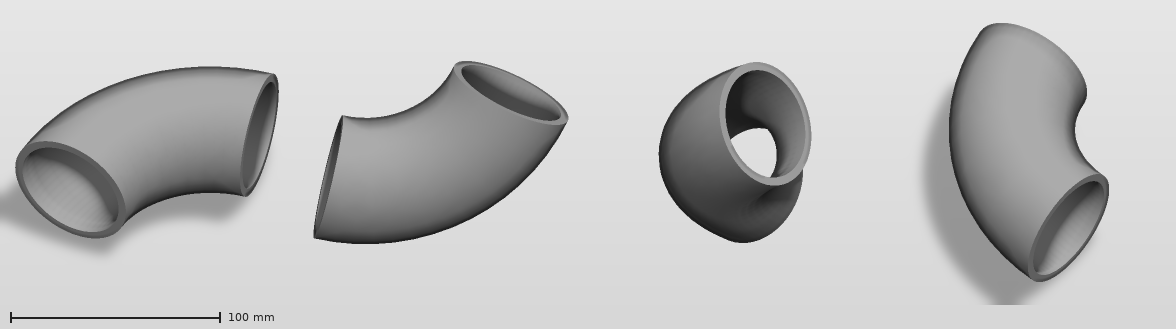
import cadquery as cq
import math

overall_length = 104.4
outer_diameter = 60.3
wall = 4.0
bend_radius = 76.2

inner_diameter = outer_diameter - 2 * wall
outermost_radius = bend_radius + outer_diameter / 2

bend_angle = 90 - math.degrees(math.acos(overall_length / outermost_radius))

end_face = cq.Workplane("YZ").center(bend_radius, 0)
ring = end_face.circle(outer_diameter / 2).circle(inner_diameter / 2)
axis_start = (-bend_radius, 0)
axis_end = (-bend_radius, 1)
result = ring.revolve(bend_angle, axis_start, axis_end)